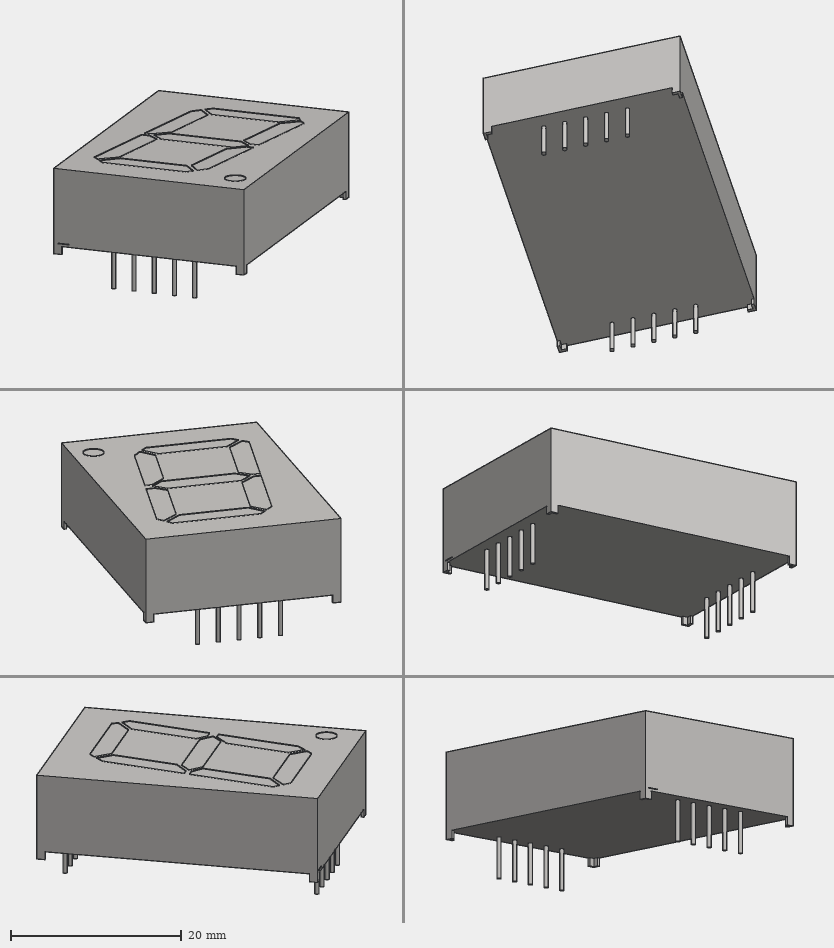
import cadquery as cq
import math

length = 34.0
width = 24.0
foot_length = 1.0
foot_wall = 0.35
foot_height = 1.0
housing_height = 10.5
total_height = 14.5

pin_diameter = 0.5
pin_pitch = 2.55
pins_per_row = 5
row_spacing = 30.45

recess_depth = 0.1
lean_angle = 10
lean = math.tan(math.radians(lean_angle))
dot_diameter = 2.5
dot_x = 9.3
dot_y = -12.9

left_outer = -7.3
left_inner = -4.75
right_inner = 4.35
right_outer = 6.87

digit_edge = 12.65
bar_tip = 11.95
bar_inner = 10.2
upright_tip = 11.55
upright_inner = 9.9
middle_half = 1.3

groove_length = 1.35
groove_height = 0.07
groove_depth = 0.07
groove_start = 0.58
groove_rise = 0.35

pin_bottom = -total_height / 2
top = total_height / 2
underside = top - housing_height + foot_height


def on_edge(edge, y):
    """Point at height y along the face on a leaning edge line."""
    return (edge + lean * y, y)


upper_bar = [
    (-3.45, digit_edge), (7.4, digit_edge), (7.85, bar_tip),
    (5.78, bar_inner), (-2.65, bar_inner), (-4.18, bar_tip),
]
middle_bar = [
    (-4.52, middle_half), (4.52, middle_half), (6.0, 0),
    (4.52, -middle_half), (-4.52, -middle_half), (-6.0, 0),
]
lower_bar = [
    (-6.25, -bar_inner), (2.15, -bar_inner), (3.67, -bar_tip),
    (2.95, -digit_edge), (-7.5, -digit_edge), (-8.23, -bar_tip),
]
upper_left_bar = [
    (-4.52, upright_tip), on_edge(left_inner, upright_inner), on_edge(left_inner, 1.87),
    (-6.35, 0.3), on_edge(left_outer, 0.3), on_edge(left_outer, 10.6),
]
upper_right_bar = [
    (8.13, upright_tip), on_edge(right_outer, 10.8), on_edge(right_outer, 0.68),
    (5.88, 0.68), on_edge(right_inner, 1.77), on_edge(right_inner, upright_inner),
]
lower_left_bar = [
    on_edge(left_outer, -0.35), (-6.4, -0.35), on_edge(left_inner, -1.43),
    on_edge(left_inner, -upright_inner), (-8.57, -upright_tip), on_edge(left_outer, -10.95),
]
lower_right_bar = [
    (5.88, -0.45), on_edge(right_outer, -0.45), on_edge(right_outer, -10.5),
    (4.0, -upright_tip), on_edge(right_inner, -upright_inner), on_edge(right_inner, -2.1),
]
digit_bars = [
    upper_bar, middle_bar, lower_bar,
    upper_left_bar, upper_right_bar, lower_left_bar, lower_right_bar,
]


def make_housing():
    block = cq.Workplane("XY").workplane(offset=underside).rect(width, length).extrude(top - underside)
    corner_blocks = (
        cq.Workplane("XY").workplane(offset=underside)
        .rect(width - foot_length, length - foot_length, forConstruction=True).vertices()
        .rect(foot_length, foot_length).extrude(-foot_height)
    )
    inner_space = (
        cq.Workplane("XY").workplane(offset=underside)
        .rect(width - 2 * foot_wall, length - 2 * foot_wall).extrude(-foot_height)
    )
    feet = corner_blocks.cut(inner_space)
    return block.union(feet)


def make_pins():
    return (
        cq.Workplane("XY").workplane(offset=pin_bottom)
        .rarray(pin_pitch, row_spacing, pins_per_row, 2)
        .circle(pin_diameter / 2).extrude(underside - pin_bottom)
    )


def make_recesses():
    floor = cq.Workplane("XY").workplane(offset=top - recess_depth)
    recesses = floor.center(dot_x, dot_y).circle(dot_diameter / 2).extrude(recess_depth)
    for outline in digit_bars:
        recesses = recesses.add(floor.polyline(outline).close().extrude(recess_depth))
    return recesses.combine()


def make_groove():
    return (
        cq.Workplane("XY")
        .box(groove_length, groove_depth, groove_height, centered=(False, False, True))
        .translate((-width / 2 + groove_start, -length / 2, underside + groove_rise))
    )


result = make_housing().union(make_pins()).cut(make_recesses()).cut(make_groove())